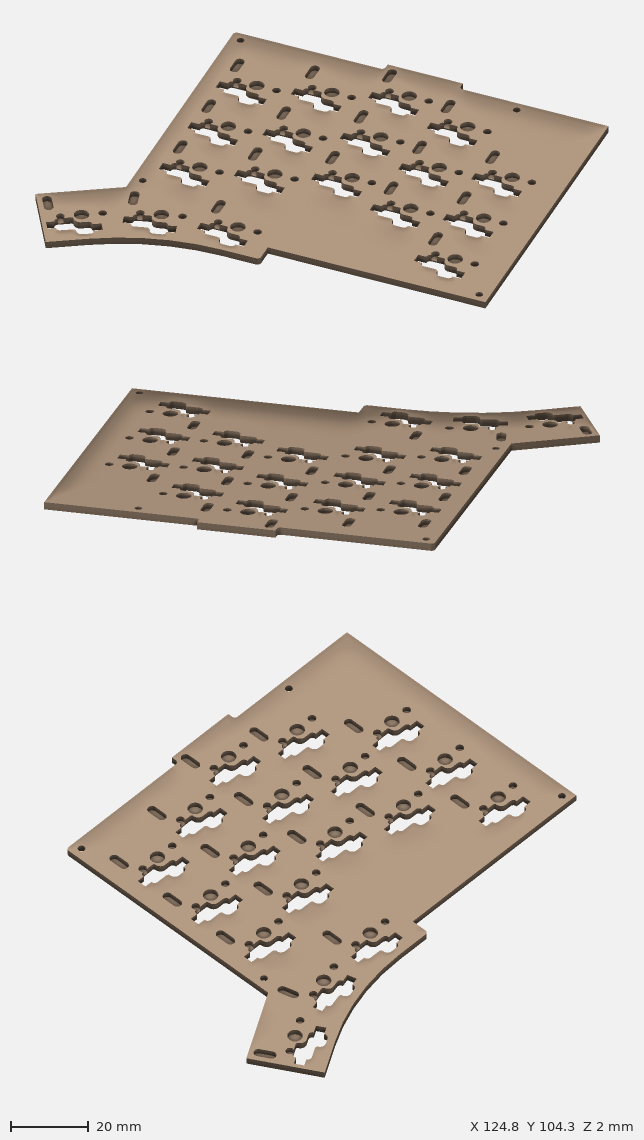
import cadquery as cq
import math

thickness = 2.0
panel_width = 104.5
panel_height = 81.9
corner_radius = 1.0

tab_left = 41.8
tab_right = 62.8
tab_height = 2.4

pitch = 19.0
rows_per_column = 3
column_tops = [(14.2, -19.0), (33.2, -14.2), (52.2, -8.0), (71.2, -14.2), (90.1, -29.8)]
upright_thumb_key = (33.2, -76.8, 0.0)
tilted_thumb_keys = [(13.0, -79.5, 15.0), (-6.0, -87.5, 30.0)]

wing_angle = math.radians(30.0)
wing_root_y = -72.2
wing_tip_x = -20.3
foot_right = 43.7
foot_y = -87.4
sweep_radius = 67.2
sweep_end_x = upright_thumb_key[0]

recess_depth = 1.6
stem_diameter = 4.0
post_diameter = 2.2
post_offset = 5.5
slot_x = -8.0
slot_y = 6.0
slot_length = 6.0
slot_width = 2.5

block_height = 5.1
block_left = -7.2
block_step = -2.2
block_right = 2.2
left_block_top = -0.9
right_block_top = -3.2
block_radius = 1.0
step_top_radius = 0.5
step_low_radius = 1.5
step_inner_radius = 0.7
stem_side_radius = 1.7
contact_height = 2.7
contact_left = -9.5
contact_right = 4.6

mount_diameter = 2.0
mount_points = [(2.9, -2.7), (80.0, -2.7), (2.9, -67.9), (101.7, -79.4)]


def fillet_upright_edge(body, point, radius):
    """Round the vertical edge that stands at the given plan point."""
    x, y = point
    nearest = cq.selectors.NearestToPointSelector((x, y, thickness / 2))
    return body.edges("|Z").edges(nearest).fillet(radius)


def make_plate():
    def on_sweep(angle):
        x = sweep_end_x - sweep_radius * math.sin(angle)
        y = foot_y - sweep_radius * (1 - math.cos(angle))
        return x, y

    wing_tip = (wing_tip_x, wing_root_y + wing_tip_x * math.tan(wing_angle))
    sweep_middle = on_sweep(wing_angle / 2)
    sweep_start = on_sweep(wing_angle)

    along_x = math.cos(wing_angle)
    along_y = math.sin(wing_angle)
    run = (sweep_start[0] - wing_tip[0]) * along_x + (sweep_start[1] - wing_tip[1]) * along_y
    wing_low = (sweep_start[0] - run * along_x, sweep_start[1] - run * along_y)

    plate = (
        cq.Workplane("XY")
        .moveTo(0, 0)
        .lineTo(tab_left, 0)
        .lineTo(tab_left, tab_height)
        .lineTo(tab_right, tab_height)
        .lineTo(tab_right, 0)
        .lineTo(panel_width, 0)
        .lineTo(panel_width, -panel_height)
        .lineTo(foot_right, -panel_height)
        .lineTo(foot_right, foot_y)
        .lineTo(sweep_end_x, foot_y)
        .threePointArc(sweep_middle, sweep_start)
        .lineTo(*wing_low)
        .lineTo(*wing_tip)
        .lineTo(0, wing_root_y)
        .close()
        .extrude(thickness)
    )
    for corner in [(0, 0), (tab_left, 0), (tab_right, 0), (foot_right, foot_y)]:
        plate = fillet_upright_edge(plate, corner, corner_radius)
    return plate


def make_contact(x_start, x_end, block_top):
    """A contact tab, centred on the height of the block it leaves."""
    middle_y = block_top - block_height / 2
    return (
        cq.Workplane("XY")
        .center((x_start + x_end) / 2, middle_y)
        .rect(x_end - x_start, contact_height)
        .extrude(thickness)
    )


def make_socket_window():
    left_block_bottom = left_block_top - block_height
    right_block_bottom = right_block_top - block_height
    corners = [
        (block_left, left_block_top, block_radius),
        (block_step, left_block_top, step_top_radius),
        (block_step, right_block_top, stem_side_radius),
        (block_right, right_block_top, block_radius),
        (block_right, right_block_bottom, block_radius),
        (block_step, right_block_bottom, step_low_radius),
        (block_step, left_block_bottom, step_inner_radius),
        (block_left, left_block_bottom, block_radius),
    ]
    outline = [(x, y) for x, y, radius in corners]
    window = cq.Workplane("XY").polyline(outline).close().extrude(thickness)
    for x, y, radius in corners:
        window = fillet_upright_edge(window, (x, y), radius)
    window = window.union(make_contact(contact_left, block_step, left_block_top))
    return window.union(make_contact(block_step, contact_right, right_block_top))


def make_recesses():
    floor = cq.Workplane("XY").workplane(offset=thickness - recess_depth)
    stem = floor.circle(stem_diameter / 2).extrude(recess_depth)
    posts = (
        floor.pushPoints([(-post_offset, 0), (post_offset, 0)])
        .circle(post_diameter / 2)
        .extrude(recess_depth)
    )
    slot = floor.center(slot_x, slot_y).slot2D(slot_length, slot_width, 90).extrude(recess_depth)
    return stem.union(posts).union(slot)


def list_keys():
    keys = [upright_thumb_key] + tilted_thumb_keys
    for x, top_y in column_tops:
        for row in range(rows_per_column):
            keys.append((x, top_y - row * pitch, 0.0))
    return keys


result = make_plate()

key_cutter = make_socket_window().union(make_recesses())
for key_x, key_y, key_angle in list_keys():
    cutter = key_cutter.rotate((0, 0, 0), (0, 0, 1), key_angle).translate((key_x, key_y, 0))
    result = result.cut(cutter)

mounts = cq.Workplane("XY").pushPoints(mount_points).circle(mount_diameter / 2).extrude(thickness)
result = result.cut(mounts)